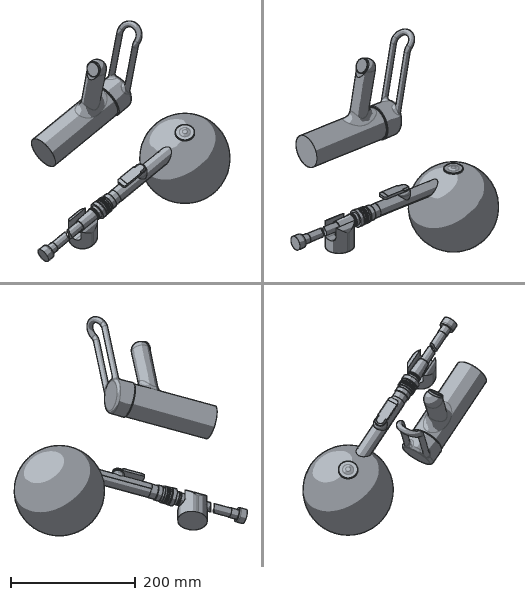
import cadquery as cq
import math


tap_x = -99.0
tap_z = 87.5
tap_front_y = -222.5
tap_radius = 27.5
collar_front_y = -79.2
collar_radius = 29.0
collar_rear_radius = 28.2
collar_rear_y = -35.0
collar_edge_fillet = 4.5
joint_width = 1.4
joint_radius = 26.5
lean = 10.4

rod_radius = 4.85
rod_spacing = 35.6
lever_tip_z = 237.1
lever_tip_y = -9.8
loop_angle = 45.0
bend_radius = 15.0
rod_inset = 0.3
rod_foot_above_axis = 4.0
rod_foot_blend = 5.0

spout_y = -121.6
spout_bottom_radius = 14.6
spout_top_radius = 15.4
spout_length = 114.0
spout_blend = 15.0
face_tilt = 32.0
outlet_y = -110.5
outlet_z = 206.8
outlet_radius = 12.5
outlet_height = 2.8
outlet_chamfer = 0.8

ball_radius = 72.73
ball_y = -0.48
ball_z = -52.38
cap_radius = 15.8
cap_height = 0.4
cap_chamfer = 0.8
button_radius = 9.0
button_tip_radius = 4.0
button_height = 1.4

handle_radius = 11.845
handle_lower_radius = 11.3
handle_crease_z = -4.5
handle_start_y = -30.0
handle_end_y = -157.0

valve_y = -101.8
valve_radius = 11.045
valve_shoulder_z = 12.3
valve_dome_z = 16.5
valve_dome_radius = 10.2
valve_top_z = 18.7
valve_top_radius = 7.0
lever_top_z = 24.4
lever_thickness = 4.9
lever_width = 17.2
lever_end_y = -146.3
lever_corner = 4.0
lever_head_end_y = -107.8
lever_head_chamfer = 2.5
lever_tip_length = 7.0
lever_tip_drop = 0.5

neck_radius = 11.475
coupling_start_y = -167.5
coupling_end_y = -175.9
coupling_radius = 12.7
coupling_chamfer = 0.8
grip_start_y = -179.8
grip_end_y = -191.2
grip_radius = 13.95
grip_groove_count = 2
grip_groove_width = 1.5
grip_groove_depth = 0.8
flange_start_y = -192.7
flange_end_y = -199.4
flange_radius = 14.5
stem_radius = 11.0
stem_rings_y = (-204.8, -207.8)
stem_ring_width = 0.8
stem_ring_depth = 0.5
cone_start_y = -208.6
cone_end_y = -238.2
cone_start_radius = 10.5
cone_end_radius = 8.95

hose_radius = 7.5
hose_break_y = -262.3
hose_gap = 6.3
break_wave = 1.7

holder_y = -231.6
holder_width = 44.6
holder_length = 47.7
holder_bottom_z = -39.2
holder_top_z = 9.0
holder_shoulder_z = -3.8
holder_shoulder_radius = 13.0
channel_width = 27.9
channel_floor_z = -17.6
channel_fillet = 8.0
post_radius = 7.5

ferrule_start_y = -296.5
ferrule_radius = 8.05
nut_start_y = -308.9
nut_end_y = -321.92
nut_radius = 12.0
nut_rear_radius = 11.5
nut_rear_length = 2.5

overlap = 1.0
slab_size = 200.0


def turned(stations):
    """Solid of revolution about the Y axis from (y, radius) stations."""
    outline = [(0, stations[0][0])]
    outline += [(radius, y) for y, radius in stations]
    outline += [(0, stations[-1][0])]
    return cq.Workplane("XY").polyline(outline).close().revolve(360, (0, 0, 0), (0, 1, 0))


def slab_from(angle, y, z):
    """Large block whose base passes through (tap_x, y, z); its normal is -Y raised by the angle."""
    rise = math.radians(angle)
    plane = cq.Plane(
        origin=(tap_x, y, z),
        xDir=(1, 0, 0),
        normal=(0, -math.cos(rise), math.sin(rise)),
    )
    return cq.Workplane(plane).rect(slab_size, slab_size).extrude(slab_size)


def lever_path():
    """Centre line points of the lever rod in Y and Z: loop apex, loop foot and bend end."""
    slope = math.radians(loop_angle)
    tilt = math.radians(lean)
    apex = (lever_tip_y - rod_radius, lever_tip_z - rod_radius)
    reach = rod_spacing / 2
    loop_foot = (apex[0] - reach * math.sin(slope), apex[1] - reach * math.cos(slope))
    bend_end = (
        loop_foot[0] - bend_radius * (math.cos(tilt) - math.cos(slope)),
        loop_foot[1] - bend_radius * (math.sin(slope) - math.sin(tilt)),
    )
    return apex, loop_foot, bend_end


def rod_y_at(z):
    """Y of the straight part of the rod centre line at a height."""
    bend_end = lever_path()[2]
    return bend_end[0] - (bend_end[1] - z) * math.tan(math.radians(lean))


def lever_rod():
    """U-shaped rod: two leaning legs, each bent once, joined by a half-round loop."""
    apex, loop_foot, bend_end = lever_path()
    slope = math.radians(loop_angle)
    tilt = math.radians(lean)
    middle = math.radians((loop_angle + lean) / 2)
    half = rod_spacing / 2
    foot_z = tap_z + rod_foot_above_axis
    bend_centre = (
        loop_foot[0] + bend_radius * math.cos(slope),
        loop_foot[1] - bend_radius * math.sin(slope),
    )
    bend_middle = (
        bend_centre[0] - bend_radius * math.cos(middle),
        bend_centre[1] + bend_radius * math.sin(middle),
    )

    def at(side, point):
        return cq.Vector(tap_x + side * half, point[0], point[1])

    def leg(side):
        foot = (rod_y_at(foot_z), foot_z)
        return [
            cq.Edge.makeLine(at(side, foot), at(side, bend_end)),
            cq.Edge.makeThreePointArc(at(side, bend_end), at(side, bend_middle), at(side, loop_foot)),
        ]

    loop = cq.Edge.makeThreePointArc(at(-1, loop_foot), at(0, apex), at(1, loop_foot))
    path = cq.Wire.assembleEdges(leg(-1) + [loop] + leg(1)[::-1])
    section = cq.Plane(
        origin=at(-1, (rod_y_at(foot_z), foot_z)).toTuple(),
        xDir=(1, 0, 0),
        normal=(0, math.sin(tilt), math.cos(tilt)),
    )
    return cq.Workplane(section).circle(rod_radius).sweep(path)


def collar():
    """Tapered rear ring with a slanted, rounded back face just behind the lever rods."""
    ring = turned([
        (collar_rear_y, collar_rear_radius),
        (collar_front_y, collar_radius),
    ]).translate((tap_x, 0, tap_z))
    back_y = rod_y_at(tap_z) + (rod_radius + rod_inset) / math.cos(math.radians(lean))
    ring = ring.intersect(slab_from(lean, back_y, tap_z))
    return ring.faces(">Y").edges().fillet(collar_edge_fillet)


def collar_and_lever():
    """Collar joined to the rod, with the legs blended into the top of the collar."""
    joined = collar().union(lever_rod())
    bend_end = lever_path()[2]
    foot_top_z = tap_z + collar_radius + rod_radius
    around_legs = cq.selectors.BoxSelector(
        (tap_x - rod_spacing, bend_end[0] - rod_spacing, foot_top_z),
        (tap_x + rod_spacing, bend_end[0] + rod_spacing, bend_end[1]),
    )
    around_feet = cq.selectors.BoxSelector(
        (tap_x - rod_spacing, bend_end[0] - rod_spacing, tap_z),
        (tap_x + rod_spacing, bend_end[0] + rod_spacing, foot_top_z),
    )
    return joined.faces(around_legs).edges(around_feet).fillet(rod_foot_blend)


def spout_plane():
    """Plane across the spout axis where it meets the body axis."""
    tilt = math.radians(lean)
    return cq.Plane(
        origin=(tap_x, spout_y, tap_z),
        xDir=(1, 0, 0),
        normal=(0, math.sin(tilt), math.cos(tilt)),
    )


def spout():
    """Leaning, slightly flaring column with a domed top cut off by the slanted outlet face."""
    column = (
        cq.Workplane(spout_plane())
        .circle(spout_bottom_radius)
        .workplane(offset=spout_length)
        .circle(spout_top_radius)
        .loft()
    )
    dome = cq.Workplane(spout_plane()).workplane(offset=spout_length).sphere(spout_top_radius)
    rise = math.radians(face_tilt)
    base_y = outlet_y + outlet_height * math.cos(rise)
    base_z = outlet_z - outlet_height * math.sin(rise)
    return column.union(dome).cut(slab_from(face_tilt, base_y, base_z))


def outlet():
    """Chamfered disc on the slanted face."""
    rise = math.radians(face_tilt)
    plane = cq.Plane(
        origin=(tap_x, outlet_y, outlet_z),
        xDir=(1, 0, 0),
        normal=(0, -math.cos(rise), math.sin(rise)),
    )
    disc = cq.Workplane(plane).circle(outlet_radius).extrude(-2 * outlet_height)
    return disc.faces(cq.selectors.DirectionMinMaxSelector(plane.zDir, True)).edges().chamfer(outlet_chamfer)


def mixer_tap():
    """Barrel with its blended spout and outlet, a narrow joint, and the collar with the lever."""
    barrel = turned([
        (collar_front_y - joint_width, tap_radius),
        (tap_front_y, tap_radius),
    ]).translate((tap_x, 0, tap_z))
    body = barrel.union(spout())
    seam = cq.selectors.BoxSelector(
        (tap_x - tap_radius, spout_y - tap_radius, tap_z + overlap),
        (tap_x + tap_radius, spout_y + tap_radius, tap_z + tap_radius + overlap),
    )
    body = body.edges(seam).fillet(spout_blend)
    joint = turned([
        (collar_front_y + joint_width, joint_radius),
        (collar_front_y - 2 * joint_width, joint_radius),
    ]).translate((tap_x, 0, tap_z))
    return body.union(outlet()).union(joint).union(collar_and_lever())


def ball():
    """Ball with a low chamfered cap and a shallow conical button on top."""
    sphere = cq.Workplane("XY").sphere(ball_radius)
    cap_top = ball_radius + cap_height
    cap = (
        cq.Workplane("XY")
        .workplane(offset=cap_top)
        .circle(cap_radius)
        .extrude(-cap_radius)
        .faces(">Z")
        .edges()
        .chamfer(cap_chamfer)
    )
    button = (
        cq.Workplane("XY")
        .workplane(offset=cap_top)
        .circle(button_radius)
        .workplane(offset=button_height)
        .circle(button_tip_radius)
        .loft()
    )
    return sphere.union(cap).union(button).translate((0, ball_y, ball_z))


def handle():
    """Round grip whose underside, below a crease, is slightly slimmer."""
    size = 4 * handle_radius
    length = -handle_end_y
    full = turned([(handle_start_y, handle_radius), (handle_end_y, handle_radius)])
    lower = cq.Workplane("XY").box(size, 2 * length, size, centered=(True, True, False))
    full = full.cut(lower.translate((0, handle_end_y, handle_crease_z - size)))
    return full.union(turned([(handle_start_y, handle_lower_radius), (handle_end_y, handle_lower_radius)]))


def valve():
    """Upright valve boss with a flat lever pointing along the hose."""
    boss = (
        cq.Workplane("XZ")
        .lineTo(valve_radius, 0)
        .lineTo(valve_radius, valve_shoulder_z)
        .threePointArc((valve_dome_radius, valve_dome_z), (valve_top_radius, valve_top_z))
        .lineTo(valve_top_radius, lever_top_z - lever_thickness / 2)
        .lineTo(0, lever_top_z - lever_thickness / 2)
        .close()
        .revolve(360, (0, 0, 0), (0, 1, 0))
        .translate((0, valve_y, 0))
    )
    head_length = 2 * lever_width
    head = (
        cq.Workplane("XY")
        .workplane(offset=lever_top_z - lever_thickness)
        .center(0, valve_y + lever_width / 2 - head_length / 2)
        .slot2D(head_length, lever_width, 90)
        .extrude(lever_thickness)
        .faces(">Z")
        .edges()
        .chamfer(lever_head_chamfer)
    )
    blade_length = lever_head_end_y - lever_end_y
    blade = (
        cq.Workplane("XY")
        .box(lever_width, blade_length, lever_thickness, centered=(True, False, False))
        .translate((0, lever_end_y, lever_top_z - lever_thickness))
        .edges("|Z and <Y")
        .fillet(lever_corner)
    )
    tip_relief = cq.Workplane("XY").box(2 * lever_width, 2 * lever_tip_length, 2 * lever_tip_drop)
    blade = blade.cut(tip_relief.translate((0, lever_end_y, lever_top_z)))
    return boss.union(head).union(blade)


def ring_groove(y, width, radius, depth):
    """Ring-shaped cutter centred at y that sinks to a depth below a radius."""
    outer = turned([(y + width / 2, radius + overlap), (y - width / 2, radius + overlap)])
    return outer.cut(turned([(y + width / 2, radius - depth), (y - width / 2, radius - depth)]))


def coupling():
    """Turned neck, ribbed grip ring, flange, stem and cone between the handle and the hose."""
    body = turned([
        (handle_end_y + overlap, neck_radius),
        (coupling_start_y, neck_radius),
        (coupling_start_y, coupling_radius - coupling_chamfer),
        (coupling_start_y - coupling_chamfer, coupling_radius),
        (coupling_end_y, coupling_radius),
        (coupling_end_y, neck_radius),
        (grip_start_y, neck_radius),
        (grip_start_y, grip_radius),
        (grip_end_y, grip_radius),
        (grip_end_y, neck_radius),
        (flange_start_y, neck_radius),
        (flange_start_y, flange_radius),
        (flange_end_y, flange_radius),
        (flange_end_y, stem_radius),
        (cone_start_y, stem_radius),
        (cone_start_y, cone_start_radius),
        (cone_end_y, cone_end_radius),
    ])
    pitch = (grip_end_y - grip_start_y) / (grip_groove_count + 1)
    for index in range(grip_groove_count):
        groove_y = grip_start_y + (index + 1) * pitch
        body = body.cut(ring_groove(groove_y, grip_groove_width, grip_radius, grip_groove_depth))
    for ring_y in stem_rings_y:
        body = body.cut(ring_groove(ring_y, stem_ring_width, stem_radius, stem_ring_depth))
    return body


def hose_beyond_break(shift):
    """Block that covers everything past the wavy break line, moved along the hose by shift."""
    y = hose_break_y - shift
    edge = 2 * hose_radius
    far = nut_end_y - edge
    return (
        cq.Workplane("XY")
        .workplane(offset=-edge)
        .moveTo(-edge, far)
        .lineTo(-edge, y + break_wave)
        .lineTo(-hose_radius, y + break_wave)
        .spline(
            [
                (-hose_radius / 2, y + break_wave),
                (hose_radius / 4, y - break_wave),
                (hose_radius, y - break_wave),
            ],
            includeCurrent=True,
        )
        .lineTo(edge, y - break_wave)
        .lineTo(edge, far)
        .close()
        .extrude(2 * edge)
    )


def holder():
    """Upright cup with shouldered cheeks, a U channel for the hose and a central post under it."""
    half = holder_width / 2
    height = holder_top_z - holder_bottom_z
    cup = (
        cq.Workplane("XY")
        .workplane(offset=holder_bottom_z)
        .center(0, holder_y)
        .slot2D(holder_length, holder_width, 90)
        .extrude(height)
    )
    centre_x = half - holder_shoulder_radius
    rise = holder_top_z - holder_shoulder_z
    top_x = centre_x + math.sqrt(holder_shoulder_radius**2 - rise**2)
    bow = holder_shoulder_radius * math.sqrt(0.5)
    arch = (
        cq.Workplane("XZ")
        .moveTo(-half, holder_bottom_z)
        .lineTo(-half, holder_shoulder_z)
        .threePointArc((-centre_x - bow, holder_shoulder_z + bow), (-top_x, holder_top_z))
        .lineTo(top_x, holder_top_z)
        .threePointArc((centre_x + bow, holder_shoulder_z + bow), (half, holder_shoulder_z))
        .lineTo(half, holder_bottom_z)
        .close()
        .extrude(2 * holder_length)
        .translate((0, holder_y + holder_length, 0))
    )
    channel_height = 2 * (holder_top_z - channel_floor_z)
    channel = (
        cq.Workplane("XY")
        .box(channel_width, 2 * holder_length, channel_height, centered=(True, True, False))
        .edges("|Y and <Z")
        .fillet(channel_fillet)
        .translate((0, holder_y, channel_floor_z))
    )
    post = (
        cq.Workplane("XY")
        .workplane(offset=channel_floor_z - overlap)
        .center(0, holder_y)
        .circle(post_radius)
        .extrude(-channel_floor_z)
    )
    return cup.intersect(arch).cut(channel).union(post)


def spray_unit():
    """Ball, handle, valve, coupling, hose stub and holder joined into one body."""
    hose_stub = turned([(cone_end_y + overlap, hose_radius), (hose_break_y - hose_gap, hose_radius)])
    hose_stub = hose_stub.cut(hose_beyond_break(0))
    return ball().union(handle()).union(valve()).union(coupling()).union(hose_stub).union(holder())


def hose_end():
    """Loose hose piece from the break to its ferrule and connection nut."""
    piece = turned([
        (hose_break_y, hose_radius),
        (ferrule_start_y, hose_radius),
        (ferrule_start_y, ferrule_radius),
        (nut_start_y, ferrule_radius),
        (nut_start_y, nut_rear_radius),
        (nut_start_y - nut_rear_length, nut_radius),
        (nut_end_y, nut_radius),
    ])
    return piece.intersect(hose_beyond_break(hose_gap))


result = cq.Compound.makeCompound([mixer_tap().val(), spray_unit().val(), hose_end().val()])